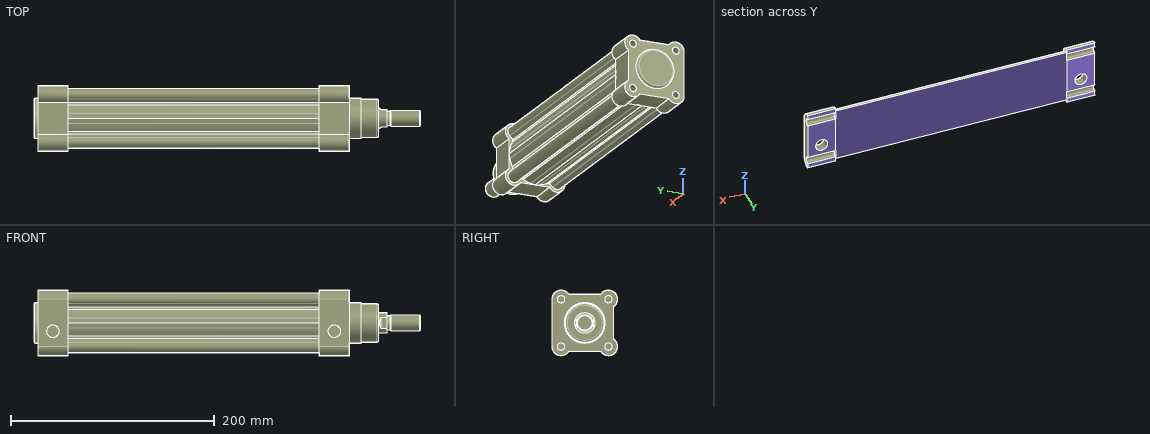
import cadquery as cq
import math


overall_length = 379.2
body_length = 306.0
cap_length = 29.75
rear_spigot_length = 3.6
tube_length = body_length - 2 * cap_length
front_cap_start = body_length - cap_length

screw_pitch = 46.5
corner = screw_pitch / 2
lobe_radius = 9.0
cap_flat_offset = 28.25
flush_offset = corner + lobe_radius
screw_hole_diameter = 7.2
port_diameter = 12.2
port_depth = 15.0
port_z = -8.2

spigot_diameter = 40.0
spigot_fillet = 1.8
front_spigot_length = 11.5
gland_diameter = 38.0
gland_length = 28.5
gland_fillet = 1.8

rod_diameter = 20.0
rod_shoulder_x = body_length + 37.0
flats_width = 17.0
flats_start_x = body_length + 29.5
flat_depth = (rod_diameter - flats_width) / 2
neck_diameter = 14.4
neck_length = 2.8
thread_diameter = 16.0
thread_chamfer = 0.9
rod_tip_x = overall_length - rear_spigot_length

tube_radius = 27.8
tube_lobe_radius = 6.2
ridge_half_width = 5.0
barrel_half_width = 13.0
groove_floor_edge = 15.4
groove_floor_tilt = math.radians(6.5)
quarters = 4


def cylinder_along_x(x_start, x_end, diameter):
    """Solid round bar on the cylinder axis."""
    return cq.Workplane("YZ", origin=(x_start, 0, 0)).circle(diameter / 2).extrude(x_end - x_start)


def bars_at_screws(x_start, diameter):
    """Four round bars on the screw axes, as long as a cap."""
    screw_axes = cq.Workplane("YZ", origin=(x_start, 0, 0))
    screw_axes = screw_axes.rect(screw_pitch, screw_pitch, forConstruction=True).vertices()
    return screw_axes.circle(diameter / 2).extrude(cap_length)


def cap_blank(x_start):
    """Square block with four corner lobes; the -Y side is filled flush with its lobes."""
    section = cq.Workplane("YZ", origin=(x_start, 0, 0))
    block = section.rect(2 * cap_flat_offset, 2 * cap_flat_offset).extrude(cap_length)
    flush_side = section.center(-flush_offset / 2, 0).rect(flush_offset, screw_pitch).extrude(cap_length)
    lobes = bars_at_screws(x_start, 2 * lobe_radius)
    return block.union(flush_side).union(lobes)


def make_cap(x_start):
    """Cap with its four screw holes and the air port in the -Y face."""
    screw_holes = bars_at_screws(x_start, screw_hole_diameter)
    port = (
        cq.Workplane("XZ", origin=(x_start + cap_length / 2, -flush_offset, port_z))
        .circle(port_diameter / 2)
        .extrude(-port_depth)
    )
    return cap_blank(x_start).cut(screw_holes).cut(port)


def make_rear_cap():
    spigot = cylinder_along_x(-rear_spigot_length, 0, spigot_diameter)
    spigot = spigot.faces("<X").edges().fillet(spigot_fillet)
    return make_cap(0).union(spigot)


def make_front_cap():
    """Front cap with its spigot, the rod gland and the bore that the rod runs in."""
    gland_end = body_length + gland_length
    spigot = cylinder_along_x(body_length, body_length + front_spigot_length, spigot_diameter)
    gland = cylinder_along_x(body_length, gland_end, gland_diameter)
    gland = gland.faces(">X").edges().fillet(gland_fillet)
    rod_bore = cylinder_along_x(front_cap_start, gland_end, rod_diameter)
    return make_cap(front_cap_start).union(spigot).union(gland).cut(rod_bore)


def turned(point, quarter):
    """Section point turned clockwise by a number of right angles."""
    across, out = point
    for _ in range(quarter):
        across, out = out, -across
    return across, out


def mirrored(point):
    """Section point mirrored in the diagonal through the corner lobe."""
    return point[1], point[0]


def make_tube():
    """Extruded profile whose outline is four equal quarters, each from one ridge to the next."""
    ridge_angle = math.asin(ridge_half_width / tube_radius)
    barrel_angle = math.asin(barrel_half_width / tube_radius)
    barrel_middle_angle = (ridge_angle + barrel_angle) / 2

    def on_barrel(angle):
        return tube_radius * math.sin(angle), tube_radius * math.cos(angle)

    ridge_top = (0, tube_radius / math.cos(ridge_angle))
    ridge_foot = on_barrel(ridge_angle)
    barrel_middle = on_barrel(barrel_middle_angle)
    barrel_end = on_barrel(barrel_angle)
    lobe_reach = tube_lobe_radius * math.sqrt(0.5)
    lobe_start = (corner - lobe_reach, corner + lobe_reach)
    lobe_middle = (corner + lobe_reach, corner + lobe_reach)

    floor_outer = (groove_floor_edge, groove_floor_edge + lobe_start[1] - lobe_start[0])
    floor_width = groove_floor_edge - barrel_half_width
    floor_inner = (barrel_half_width, floor_outer[1] + floor_width * math.tan(groove_floor_tilt))

    outline = cq.Workplane("YZ", origin=(cap_length, 0, 0)).moveTo(*ridge_top)
    for quarter in range(quarters):
        outline = outline.lineTo(*turned(ridge_foot, quarter))
        outline = outline.threePointArc(turned(barrel_middle, quarter), turned(barrel_end, quarter))
        for point in (floor_inner, floor_outer, lobe_start):
            outline = outline.lineTo(*turned(point, quarter))

        lobe_end = mirrored(lobe_start)
        outline = outline.threePointArc(turned(lobe_middle, quarter), turned(lobe_end, quarter))
        for point in (floor_outer, floor_inner, barrel_end):
            outline = outline.lineTo(*turned(mirrored(point), quarter))
        outline = outline.threePointArc(
            turned(mirrored(barrel_middle), quarter), turned(mirrored(ridge_foot), quarter)
        )
        if quarter < quarters - 1:
            outline = outline.lineTo(*turned(mirrored(ridge_top), quarter))
    return outline.close().extrude(tube_length)


def make_rod():
    """Rod with two wrench flats on the Y sides, a thread undercut and a chamfered thread end."""
    rod = cylinder_along_x(front_cap_start, rod_shoulder_x, rod_diameter)

    flat_cutter = (
        cq.Workplane("XY", origin=(0, 0, -rod_diameter / 2))
        .moveTo(flats_start_x, rod_diameter / 2)
        .lineTo(flats_start_x + flat_depth, flats_width / 2)
        .lineTo(rod_shoulder_x, flats_width / 2)
        .lineTo(rod_shoulder_x, rod_diameter / 2)
        .close()
        .extrude(rod_diameter)
    )
    rod = rod.cut(flat_cutter).cut(flat_cutter.mirror("XZ"))

    thread_start_x = rod_shoulder_x + neck_length
    neck = cylinder_along_x(rod_shoulder_x, thread_start_x, neck_diameter)
    thread = cylinder_along_x(thread_start_x, rod_tip_x, thread_diameter)
    thread = thread.faces("<X or >X").edges().chamfer(thread_chamfer)
    return rod.union(neck).union(thread)


rear_cap = make_rear_cap()
front_cap = make_front_cap()
tube = make_tube()
rod = make_rod()

bodies = [rear_cap, front_cap, tube, rod]
result = cq.Compound.makeCompound([body.solids().val() for body in bodies])